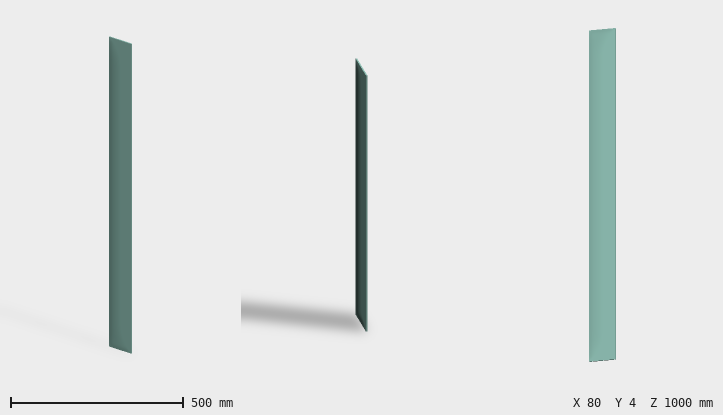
import cadquery as cq

width = 80.0
thickness = 4.0
height = 1000.0

result = cq.Workplane("XY").box(width, thickness, height)